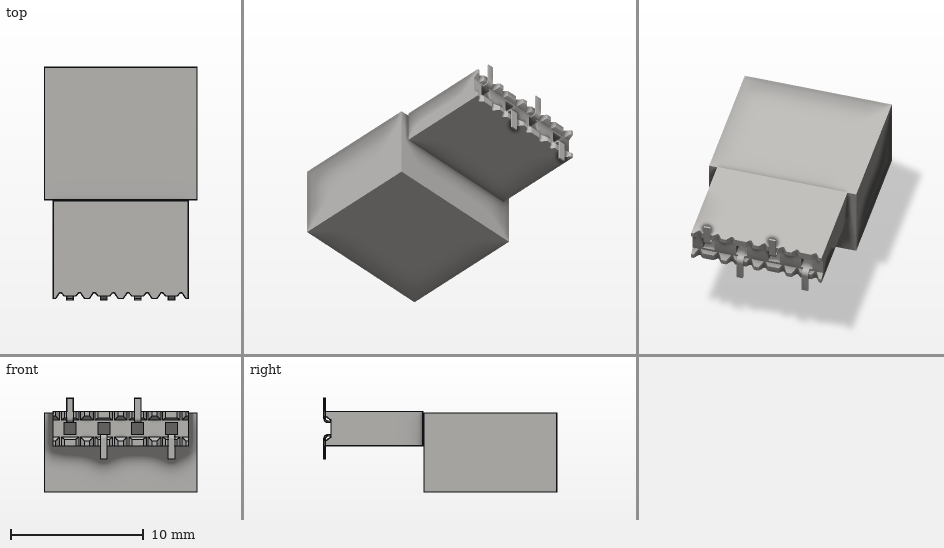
import cadquery as cq
import math


BLOCK_WIDTH = 11.48
BLOCK_DEPTH = 10.0
BLOCK_HEIGHT = 5.96
BLOCK_TOP = 1.17

CONTACT_COUNT = 4
PITCH = 2.55
SOCKET_WIDTH = CONTACT_COUNT * PITCH
SOCKET_HEIGHT = 2.6
SOCKET_GAP = 0.07
CAVITY_SIDE = 0.9

TALL_TOOTH_LENGTH = 0.42
TALL_TOOTH_ROOT_WIDTH = 0.96
TALL_TOOTH_TIP_WIDTH = 0.39
TALL_TOOTH_TIP_THICKNESS = 0.37
SHORT_TOOTH_LENGTH = 0.25
SHORT_TOOTH_ROOT_WIDTH = 1.31
SHORT_TOOTH_TIP_WIDTH = 0.86
SHORT_TOOTH_TIP_THICKNESS = 0.49
TOOTH_ROOT_THICKNESS = 0.67

PIN_WIDTH = 0.5
PIN_THICKNESS = 0.12
PIN_SPAN = 4.6
PIN_BEND_RADIUS = 0.33

ARC_MIDDLE = math.sqrt(0.5)

TOTAL_DEPTH = 17.53
PIN_FRONT_Y = BLOCK_DEPTH - TOTAL_DEPTH
TOOTH_TIP_Y = PIN_FRONT_Y + PIN_THICKNESS
SOCKET_FRONT_Y = TOOTH_TIP_Y + TALL_TOOTH_LENGTH
SOCKET_DEPTH = -SOCKET_GAP - SOCKET_FRONT_Y


def contact_x(index):
    """X of a contact; half indices fall midway between neighbours."""
    return (index - (CONTACT_COUNT - 1) / 2) * PITCH


def make_block():
    return cq.Workplane("XY").box(BLOCK_WIDTH, BLOCK_DEPTH, BLOCK_HEIGHT).translate(
        (0, BLOCK_DEPTH / 2, BLOCK_TOP - BLOCK_HEIGHT / 2)
    )


def make_tooth(x, length, root_width, tip_width, tip_thickness):
    """Tooth on the upper edge, tapering forwards on both flanks and on its inner side."""
    outer_z = SOCKET_HEIGHT / 2
    root_centre_z = outer_z - TOOTH_ROOT_THICKNESS / 2
    tip_centre_z = outer_z - tip_thickness / 2
    return (
        cq.Workplane("XZ", origin=(x, SOCKET_FRONT_Y, 0))
        .center(0, root_centre_z)
        .rect(root_width, TOOTH_ROOT_THICKNESS)
        .workplane(offset=length)
        .center(0, tip_centre_z - root_centre_z)
        .rect(tip_width, tip_thickness)
        .loft(ruled=True)
    )


def make_tooth_row():
    """Upper row: a short tooth at each contact, a tall one on either side, cut flush at the ends."""
    teeth = cq.Workplane("XY")
    for index in range(CONTACT_COUNT):
        teeth = teeth.add(
            make_tooth(
                contact_x(index),
                SHORT_TOOTH_LENGTH,
                SHORT_TOOTH_ROOT_WIDTH,
                SHORT_TOOTH_TIP_WIDTH,
                SHORT_TOOTH_TIP_THICKNESS,
            )
        )
    for index in range(CONTACT_COUNT + 1):
        teeth = teeth.add(
            make_tooth(
                contact_x(index - 0.5),
                TALL_TOOTH_LENGTH,
                TALL_TOOTH_ROOT_WIDTH,
                TALL_TOOTH_TIP_WIDTH,
                TALL_TOOTH_TIP_THICKNESS,
            )
        )
    envelope = cq.Workplane("XY").box(SOCKET_WIDTH, 2 * TOTAL_DEPTH, SOCKET_HEIGHT)
    return teeth.combine().intersect(envelope)


def make_pin(x, side):
    """Pin along the outside of a cavity, bent outwards in front; side is +1 for up, -1 for down."""
    inner_radius = PIN_BEND_RADIUS - PIN_THICKNESS
    inner_z = CAVITY_SIDE / 2
    outer_z = inner_z + PIN_THICKNESS
    bend_y = PIN_FRONT_Y + PIN_BEND_RADIUS
    bend_z = inner_z + PIN_BEND_RADIUS
    pin = (
        cq.Workplane("YZ")
        .moveTo(-SOCKET_GAP, inner_z)
        .lineTo(bend_y, inner_z)
        .threePointArc(
            (bend_y - PIN_BEND_RADIUS * ARC_MIDDLE, bend_z - PIN_BEND_RADIUS * ARC_MIDDLE),
            (PIN_FRONT_Y, bend_z),
        )
        .lineTo(PIN_FRONT_Y, PIN_SPAN / 2)
        .lineTo(TOOTH_TIP_Y, PIN_SPAN / 2)
        .lineTo(TOOTH_TIP_Y, bend_z)
        .threePointArc(
            (bend_y - inner_radius * ARC_MIDDLE, bend_z - inner_radius * ARC_MIDDLE),
            (bend_y, outer_z),
        )
        .lineTo(-SOCKET_GAP, outer_z)
        .close()
        .extrude(PIN_WIDTH / 2, both=True)
    )
    if side < 0:
        pin = pin.mirror("XY")
    return pin.translate((x, 0, 0))


def make_socket():
    socket = cq.Workplane("XY").box(SOCKET_WIDTH, SOCKET_DEPTH, SOCKET_HEIGHT).translate(
        (0, SOCKET_FRONT_Y + SOCKET_DEPTH / 2, 0)
    )
    upper_teeth = make_tooth_row()
    socket = socket.union(upper_teeth).union(upper_teeth.mirror("XY"))
    for index in range(CONTACT_COUNT):
        cavity = cq.Workplane("XY").box(CAVITY_SIDE, 2 * TOTAL_DEPTH, CAVITY_SIDE)
        socket = socket.cut(cavity.translate((contact_x(index), 0, 0)))
    for index in range(CONTACT_COUNT):
        side = 1 if index % 2 == 0 else -1
        socket = socket.union(make_pin(contact_x(index), side), clean=False)
    return socket


block = make_block()
socket = make_socket()
result = cq.Compound.makeCompound([block.val(), *socket.vals()])